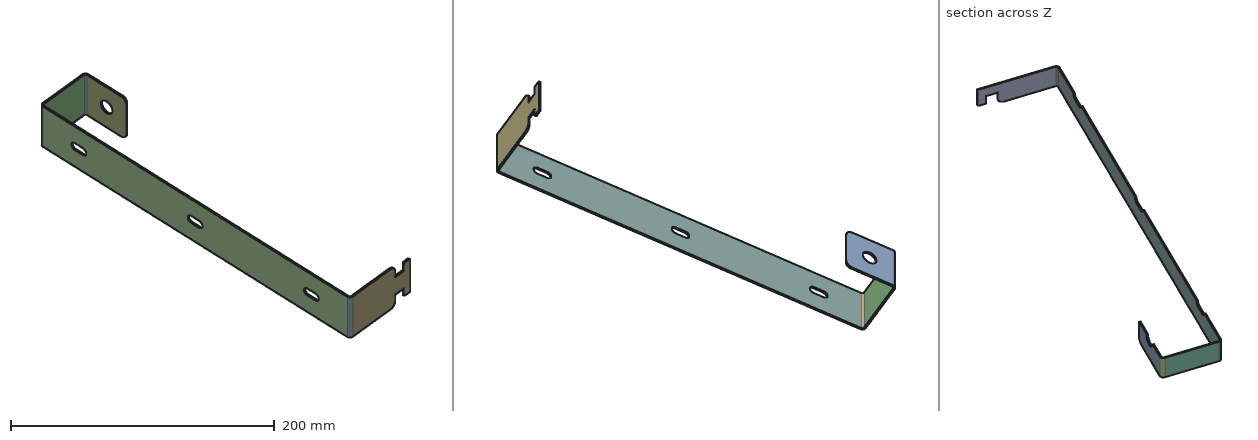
import cadquery as cq

length = 321.0
height = 41.0
thickness = 1.5
bend_radius = 3.0
inner_radius = bend_radius - thickness

left_depth = 50.5
flange_length = 43.5
flange_corner_radius = 5.0
flange_hole_x = 23.5
flange_hole_diameter = 12.0

right_depth = 67.0
wall_end = left_depth
wall_corner_radius = 5.0
neck_height = 18.0
head_length = 7.0
head_height = 34.0
head_corner_radius = 1.0

slot_length = 15.5
slot_height = 7.0
slot_spacing = 120.5


def block(x_range, y_range, z_size=height):
    """Box between the given X and Y limits, centred on Z = 0."""
    x_size = x_range[1] - x_range[0]
    y_size = y_range[1] - y_range[0]
    box = cq.Workplane("XY").box(x_size, y_size, z_size, centered=(False, False, True))
    return box.translate((x_range[0], y_range[0], 0))


def bent_strip():
    """Web, both side walls and the flange, bent from one strip."""
    outer = [
        (flange_length, left_depth),
        (0, left_depth),
        (0, 0),
        (length, 0),
        (length, right_depth),
    ]
    inner = [
        (length - thickness, right_depth),
        (length - thickness, thickness),
        (thickness, thickness),
        (thickness, left_depth - thickness),
        (flange_length, left_depth - thickness),
    ]
    strip = cq.Workplane("XY").polyline(outer + inner).close().extrude(height / 2, both=True)
    for corners, radius in ((outer[1:-1], bend_radius), (inner[1:-1], inner_radius)):
        for x, y in corners:
            nearest = cq.selectors.NearestToPointSelector((x, y, 0))
            strip = strip.edges("|Z").edges(nearest).fillet(radius)
    return strip


def round_flange_corners(strip):
    """Round the two free corners of the flange."""
    corner_box = cq.selectors.BoxSelector(
        (flange_length - thickness, left_depth - 2 * thickness, -height),
        (flange_length + thickness, left_depth + thickness, height),
    )
    return strip.edges(corner_box).edges("|Y").fillet(flange_corner_radius)


def tab_clearance():
    """Material removed around the T-shaped tab at the end of the right wall."""
    wall_x = (length - thickness, length)
    wall = block(wall_x, (left_depth / 2, wall_end)).edges("|X and >Y").fillet(wall_corner_radius)
    neck = block(wall_x, (wall_end - thickness, right_depth - head_length / 2), neck_height)
    head = block(wall_x, (right_depth - head_length, right_depth), head_height)
    head = head.edges("|X").fillet(head_corner_radius)
    return block(wall_x, (left_depth / 2, right_depth)).cut(wall.union(neck).union(head))


def web_slots():
    """Three equally spaced slots through the web."""
    centres = [(length / 2 + i * slot_spacing, 0) for i in (-1, 0, 1)]
    slots = cq.Workplane("XZ").pushPoints(centres).slot2D(slot_length, slot_height)
    return slots.extrude(thickness, both=True)


def flange_hole():
    """Round hole through the flange."""
    hole = cq.Workplane("XZ", origin=(flange_hole_x, left_depth, 0)).circle(flange_hole_diameter / 2)
    return hole.extrude(2 * thickness, both=True)


result = round_flange_corners(bent_strip())
result = result.cut(tab_clearance()).cut(web_slots()).cut(flange_hole())